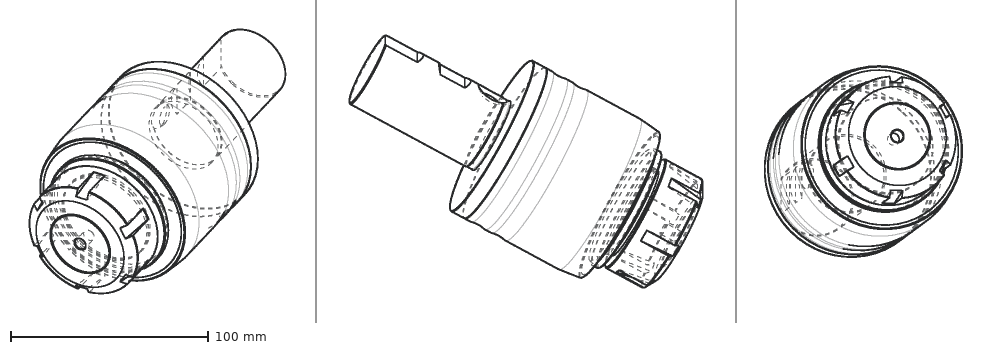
import cadquery as cq

LENGTH = 180.7

SHANK_DIAMETER = 40.0
SHANK_RADIUS = SHANK_DIAMETER / 2
SHANK_CHAMFER = 0.5
RELIEF_RADIUS = 19.7
RELIEF_START = 113.0
RELIEF_END = 109.7
RELIEF_RAMP = 0.5

BODY_DIAMETER = 87.0
BODY_RADIUS = BODY_DIAMETER / 2
BODY_BACK = 108.8
BODY_BACK_CHAMFER = 0.4
BODY_FRONT = 34.0
SEAM_Y = 101.0
SEAM_WIDTH = 0.4
SEAM_DEPTH = 0.2
GRIP_GROOVE_STARTS = (97.2, 85.3)
GRIP_GROOVE_WIDTH = 8.1
GRIP_GROOVE_DEPTH = 0.5
TAPER_START = 46.0
TAPER_END = 34.3
TAPER_END_RADIUS = 42.1
BODY_EDGE_RADIUS = 41.5
FACE_STEP_RADIUS = 40.0
FACE_STEP_DEPTH = 0.2

FLANGE_RADIUS = 33.6
FLANGE_BACK = 32.0
FLANGE_FRONT = 28.4
FLANGE_CHAMFER = 0.5
REAR_NECK_RADIUS = 32.5
REAR_NECK_ROOT_RADIUS = 32.0
NECK_RADIUS = 25.0
NECK_STEP_Y = 27.0
NECK_STEP_RADIUS = 24.5

NUT_RADIUS = 31.5
NUT_BACK = 25.3
NUT_BACK_CHAMFER = 0.5
NUT_BEVEL_LENGTH = 3.5
NUT_BEVEL_EASING_LENGTH = 0.5
NUT_BEVEL_RADIUS = 31.3
NUT_FACE_RADIUS = 25.5
SLOT_COUNT = 6
SLOT_WIDTH = 6.3
SLOT_BACK = 20.0
SLOT_BACK_RADIUS = 31.0
SLOT_FRONT_RADIUS = 27.5
FACE_RING_RADIUS = 16.8
FACE_RING_WIDTH = 0.5
FACE_RING_DEPTH = 0.4
CENTER_HOLE_RADIUS = 3.0
CENTER_HOLE_CHAMFER = 0.4
CENTER_HOLE_DEPTH = 9.0

FLAT_DEPTH = 2.2
END_FLAT_LENGTH = 18.8
SECOND_FLAT_START = 32.2
SECOND_FLAT_LENGTH = 14.3
SEAT_Y = 119.1
SEAT_FLOOR_RADIUS = 5.2
SEAT_DEPTH = 3.3

CUT_CLEARANCE = 1.8


def turned_body():
    """Everything round, revolved from one half outline that runs from the shank end to the nut face."""
    grip_floor = BODY_RADIUS - GRIP_GROOVE_DEPTH
    outline = (
        cq.Workplane("XY")
        .moveTo(0, LENGTH)
        .lineTo(SHANK_RADIUS - SHANK_CHAMFER, LENGTH)
        .lineTo(SHANK_RADIUS, LENGTH - SHANK_CHAMFER)
        .lineTo(SHANK_RADIUS, RELIEF_START)
        .lineTo(RELIEF_RADIUS, RELIEF_START - RELIEF_RAMP)
        .lineTo(RELIEF_RADIUS, RELIEF_END)
        .lineTo(SHANK_RADIUS, BODY_BACK)
        .lineTo(BODY_RADIUS - BODY_BACK_CHAMFER, BODY_BACK)
        .lineTo(BODY_RADIUS, BODY_BACK - BODY_BACK_CHAMFER)
        .lineTo(BODY_RADIUS, SEAM_Y + SEAM_WIDTH / 2)
        .lineTo(BODY_RADIUS - SEAM_DEPTH, SEAM_Y)
        .lineTo(BODY_RADIUS, SEAM_Y - SEAM_WIDTH / 2)
    )
    for start in GRIP_GROOVE_STARTS:
        outline = outline.lineTo(BODY_RADIUS, start).threePointArc(
            (grip_floor, start - GRIP_GROOVE_WIDTH / 2),
            (BODY_RADIUS, start - GRIP_GROOVE_WIDTH),
        )
    return (
        outline.lineTo(BODY_RADIUS, TAPER_START)
        .lineTo(TAPER_END_RADIUS, TAPER_END)
        .lineTo(BODY_EDGE_RADIUS, BODY_FRONT)
        .lineTo(FACE_STEP_RADIUS, BODY_FRONT)
        .lineTo(FACE_STEP_RADIUS, BODY_FRONT + FACE_STEP_DEPTH)
        .lineTo(REAR_NECK_ROOT_RADIUS, BODY_FRONT + FACE_STEP_DEPTH)
        .lineTo(REAR_NECK_RADIUS, FLANGE_BACK)
        .lineTo(FLANGE_RADIUS, FLANGE_BACK)
        .lineTo(FLANGE_RADIUS, FLANGE_FRONT + FLANGE_CHAMFER)
        .lineTo(FLANGE_RADIUS - FLANGE_CHAMFER, FLANGE_FRONT)
        .lineTo(NECK_RADIUS, FLANGE_FRONT)
        .lineTo(NECK_RADIUS, NECK_STEP_Y)
        .lineTo(NECK_STEP_RADIUS, NECK_STEP_Y)
        .lineTo(NECK_STEP_RADIUS, NUT_BACK)
        .lineTo(NUT_RADIUS - NUT_BACK_CHAMFER, NUT_BACK)
        .lineTo(NUT_RADIUS, NUT_BACK - NUT_BACK_CHAMFER)
        .lineTo(NUT_RADIUS, NUT_BEVEL_LENGTH + NUT_BEVEL_EASING_LENGTH)
        .lineTo(NUT_BEVEL_RADIUS, NUT_BEVEL_LENGTH)
        .lineTo(NUT_FACE_RADIUS, 0)
        .lineTo(0, 0)
        .close()
        .revolve(360, (0, 0, 0), (0, 1, 0))
    )


def wrench_slots():
    """Slots whose floors slope inward toward the nut face, the first one on the +Z side."""
    outside = NUT_RADIUS + CUT_CLEARANCE
    slot = (
        cq.Workplane("YZ")
        .polyline([
            (0, SLOT_FRONT_RADIUS),
            (SLOT_BACK, SLOT_BACK_RADIUS),
            (SLOT_BACK, outside),
            (0, outside),
        ])
        .close()
        .extrude(SLOT_WIDTH / 2, both=True)
    )
    slots = slot
    for index in range(1, SLOT_COUNT):
        slots = slots.union(slot.rotate((0, 0, 0), (0, 1, 0), index * 360 / SLOT_COUNT))
    return slots


def nut_face_recesses():
    """A chamfered center hole and a thin ring groove around it."""
    hole = cq.Workplane("XZ").circle(CENTER_HOLE_RADIUS).extrude(-CENTER_HOLE_DEPTH)
    hole_chamfer = cq.Workplane("XY").add(
        cq.Solid.makeCone(
            CENTER_HOLE_RADIUS + CENTER_HOLE_CHAMFER,
            CENTER_HOLE_RADIUS,
            CENTER_HOLE_CHAMFER,
            cq.Vector(0, 0, 0),
            cq.Vector(0, 1, 0),
        )
    )
    ring = (
        cq.Workplane("XZ")
        .circle(FACE_RING_RADIUS + FACE_RING_WIDTH)
        .circle(FACE_RING_RADIUS)
        .extrude(-FACE_RING_DEPTH)
    )
    return hole.union(hole_chamfer).union(ring)


def shank_flats():
    """Two flats with 45 degree end ramps; the first one runs out through the shank end."""
    floor_x = FLAT_DEPTH - SHANK_RADIUS
    outer_x = -SHANK_RADIUS - CUT_CLEARANCE
    ramp = floor_x - outer_x
    end_flat_front = LENGTH - END_FLAT_LENGTH
    second_back = LENGTH - SECOND_FLAT_START
    second_front = second_back - SECOND_FLAT_LENGTH
    end_flat = [
        (floor_x, LENGTH),
        (floor_x, end_flat_front),
        (outer_x, end_flat_front - ramp),
        (outer_x, LENGTH),
    ]
    second_flat = [
        (floor_x, second_back),
        (floor_x, second_front),
        (outer_x, second_front - ramp),
        (outer_x, second_back + ramp),
    ]
    return (
        cq.Workplane("XY")
        .polyline(end_flat)
        .close()
        .polyline(second_flat)
        .close()
        .extrude(SHANK_RADIUS, both=True)
    )


def conical_seat():
    """A 90 degree countersink with a flat floor, opening toward -X."""
    height = SEAT_DEPTH + CUT_CLEARANCE
    cone = cq.Solid.makeCone(
        SEAT_FLOOR_RADIUS,
        SEAT_FLOOR_RADIUS + height,
        height,
        cq.Vector(SEAT_DEPTH - SHANK_RADIUS, SEAT_Y, 0),
        cq.Vector(-1, 0, 0),
    )
    return cq.Workplane("XY").add(cone)


result = (
    turned_body()
    .cut(wrench_slots())
    .cut(nut_face_recesses())
    .cut(shank_flats())
    .cut(conical_seat())
)